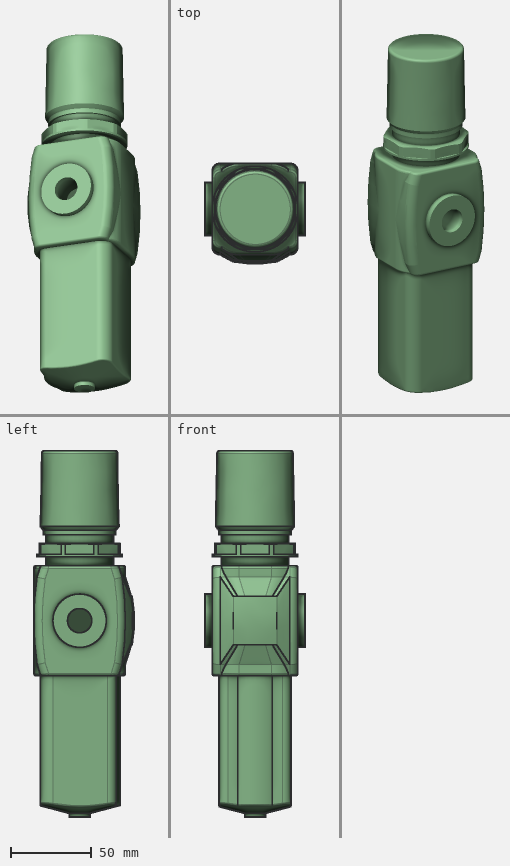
import cadquery as cq
import math


HOUSING_WIDTH = 53.0
HOUSING_HEIGHT = 68.0
HOUSING_TOP = HOUSING_HEIGHT / 2
EDGE_RADIUS = 1.5

BARREL_HALF_DEPTH = 28.27
BARREL_SHOULDER_Z = 27.0
BARREL_SHOULDER_DEPTH = 26.3
BARREL_END_DEPTH = 24.1
BARREL_CORNER_RADIUS = 5.0

HUMP_HALF_DEPTH = 28.27
HUMP_FLAT_HALF = 10.0
HUMP_CURVE_RADIUS = 17.0
HUMP_FLANK_REACH = 11.5

COVER_FRONT = 34.0
PAD_HALF_WIDTH = 13.4
PAD_HALF_HEIGHT = 15.0
COVER_BASE_HALF_WIDTH = 21.5
COVER_SIDE_DEPTH = 32.8
COVER_CORNER_DEPTH = 31.4
RAMP_BASE_REACH = 9.0
RAMP_TOP_DEPTH = 32.0
RAMP_TOP_FLAT_HALF = 6.35
RAMP_TOP_REACH = 6.8
INNER_DEPTH = 15.0

PORT_SPAN = 62.0
PORT_DIAMETER = 33.0
PORT_HOLE_DIAMETER = 15.0
PORT_HOLE_DEPTH = 20.0

NECK_DIAMETER = 42.0
NECK_TOP = 53.1
NUT_ACROSS_FLATS = 50.0
NUT_DIAMETER = 53.0
NUT_SIDES = 8
NUT_BOTTOM = 39.6
NUT_TOP = 47.8
NUT_FLANGE_THICKNESS = 1.3
NUT_CHAMFER_WIDTH = 1.8
NUT_CHAMFER_HEIGHT = 0.7

KNOB_TOP = 105.1
KNOB_TOP_DIAMETER = 47.0
KNOB_BOTTOM_DIAMETER = 48.8
KNOB_RIM_RADIUS = 1.8
KNOB_BOTTOM = 58.4
COLLAR_DIAMETER = 45.0
COLLAR_TOP = 55.9

BOWL_TOP = -HOUSING_TOP
BOWL_WIDTH = 44.5
BOWL_BACK_DEPTH = 24.4
BOWL_SHOULDER_DEPTH = 22.5
BOWL_FRONT_DEPTH = 25.2
BULGE_HALF_WIDTH = 10.7
BOWL_FRONT_RADIUS = 5.3
BOWL_BACK_RADIUS = 7.7
BOWL_TIP_Z = -120.8
BOWL_CONE_SLOPE = 0.262
BOWL_EDGE_RADIUS = 1.0
DRAIN_DIAMETER = 13.0
DRAIN_BOTTOM = -121.5


def barrel():
    """Core of the housing: Y-Z outline with bulged front and back, extruded along X."""
    outline = (
        cq.Workplane("YZ")
        .moveTo(-BARREL_END_DEPTH, HOUSING_TOP)
        .lineTo(-BARREL_SHOULDER_DEPTH, BARREL_SHOULDER_Z)
        .threePointArc((-BARREL_HALF_DEPTH, 0), (-BARREL_SHOULDER_DEPTH, -BARREL_SHOULDER_Z))
        .lineTo(-BARREL_END_DEPTH, -HOUSING_TOP)
        .lineTo(BARREL_END_DEPTH, -HOUSING_TOP)
        .lineTo(BARREL_SHOULDER_DEPTH, -BARREL_SHOULDER_Z)
        .threePointArc((BARREL_HALF_DEPTH, 0), (BARREL_SHOULDER_DEPTH, BARREL_SHOULDER_Z))
        .lineTo(BARREL_END_DEPTH, HOUSING_TOP)
        .close()
    )
    body = outline.extrude(HOUSING_WIDTH / 2, both=True)
    return body.faces("<X or >X").edges("not #Z").fillet(BARREL_CORNER_RADIUS)


def hump_section(plane, flat_half, crest_depth, reach):
    """Closed section facing -Y: a flat crest with a tangent arc of the given reach on each side."""
    angle = math.asin(reach / HUMP_CURVE_RADIUS)

    def flank_point(turn):
        x = flat_half + HUMP_CURVE_RADIUS * math.sin(turn)
        y = -crest_depth + HUMP_CURVE_RADIUS * (1 - math.cos(turn))
        return x, y

    middle_x, middle_y = flank_point(angle / 2)
    end_x, end_y = flank_point(angle)
    return (
        plane.moveTo(-end_x, -INNER_DEPTH)
        .lineTo(-end_x, end_y)
        .threePointArc((-middle_x, middle_y), (-flat_half, -crest_depth))
        .lineTo(flat_half, -crest_depth)
        .threePointArc((middle_x, middle_y), (end_x, end_y))
        .lineTo(end_x, -INNER_DEPTH)
        .close()
    )


def hump():
    base = cq.Workplane("XY").workplane(offset=-HOUSING_TOP)
    section = hump_section(base, HUMP_FLAT_HALF, HUMP_HALF_DEPTH, HUMP_FLANK_REACH)
    return section.extrude(HOUSING_HEIGHT)


def cover_ramp():
    """Upper ramp of the front cover, narrowing from the shoulder to the pad."""
    base = cq.Workplane("XY").workplane(offset=BARREL_SHOULDER_Z)
    wide = hump_section(base, HUMP_FLAT_HALF, HUMP_HALF_DEPTH, RAMP_BASE_REACH)
    inward = wide.workplane(offset=PAD_HALF_HEIGHT - BARREL_SHOULDER_Z)
    narrow = hump_section(inward, RAMP_TOP_FLAT_HALF, RAMP_TOP_DEPTH, RAMP_TOP_REACH)
    return narrow.loft(ruled=True, combine=True)


def cover_side_section(plane, half_height, edge_depth, crest_depth):
    """Y-Z section with a curved front edge, used at both ends of a side slope."""
    return (
        plane.moveTo(-INNER_DEPTH, half_height)
        .lineTo(-edge_depth, half_height)
        .threePointArc((-crest_depth, 0), (-edge_depth, -half_height))
        .lineTo(-INNER_DEPTH, -half_height)
        .close()
    )


def cover_side():
    """Slope from the barrel corner up to the +X edge of the pad."""
    base = cq.Workplane("YZ").workplane(offset=COVER_BASE_HALF_WIDTH)
    outer = cover_side_section(base, BARREL_SHOULDER_Z, BARREL_SHOULDER_DEPTH, BARREL_HALF_DEPTH)
    inward = outer.workplane(offset=PAD_HALF_WIDTH - COVER_BASE_HALF_WIDTH)
    inner = cover_side_section(inward, PAD_HALF_HEIGHT, COVER_CORNER_DEPTH, COVER_SIDE_DEPTH)
    return inner.loft(ruled=True, combine=True)


def cover_end():
    """Plain upper slope under the ramp, reaching the diagonal edges of the side slopes."""
    slope = (
        cq.Workplane("YZ")
        .polyline([
            (-INNER_DEPTH, BARREL_SHOULDER_Z),
            (-BARREL_SHOULDER_DEPTH, BARREL_SHOULDER_Z),
            (-COVER_CORNER_DEPTH, PAD_HALF_HEIGHT),
            (-INNER_DEPTH, PAD_HALF_HEIGHT),
        ])
        .close()
        .extrude(COVER_BASE_HALF_WIDTH, both=True)
    )
    plan = (
        cq.Workplane("XZ")
        .polyline([
            (-COVER_BASE_HALF_WIDTH, BARREL_SHOULDER_Z),
            (COVER_BASE_HALF_WIDTH, BARREL_SHOULDER_Z),
            (PAD_HALF_WIDTH, PAD_HALF_HEIGHT),
            (-PAD_HALF_WIDTH, PAD_HALF_HEIGHT),
        ])
        .close()
        .extrude(COVER_FRONT)
    )
    return slope.intersect(plan)


def pad():
    """Square pad whose front is crowned across X and curved about an axis along X."""
    drop = COVER_SIDE_DEPTH - COVER_CORNER_DEPTH
    curve_radius = (PAD_HALF_HEIGHT**2 + drop**2) / (2 * drop)
    axis_y = curve_radius - COVER_SIDE_DEPTH
    half_sweep = 2 * math.degrees(math.asin(PAD_HALF_HEIGHT / curve_radius))
    crowned = (
        cq.Workplane("XY")
        .moveTo(-PAD_HALF_WIDTH, 0)
        .lineTo(-PAD_HALF_WIDTH, -COVER_SIDE_DEPTH)
        .threePointArc((0, -COVER_FRONT), (PAD_HALF_WIDTH, -COVER_SIDE_DEPTH))
        .lineTo(PAD_HALF_WIDTH, 0)
        .close()
        .revolve(2 * half_sweep, (0, axis_y, 0), (1, axis_y, 0))
        .rotate((0, axis_y, 0), (1, axis_y, 0), -half_sweep)
    )
    depth = COVER_FRONT - INNER_DEPTH
    block = cq.Workplane("XY").box(2 * PAD_HALF_WIDTH, depth, 2 * PAD_HALF_HEIGHT)
    return crowned.intersect(block.translate((0, -INNER_DEPTH - depth / 2, 0)))


def front_cover():
    cover = pad()
    side = cover_side()
    cover = cover.union(side).union(side.mirror("YZ"))
    end = cover_end().union(cover_ramp())
    return cover.union(end).union(end.mirror("XY"))


def nut():
    """Octagon with its corners turned down, on a round flange."""
    height = NUT_TOP - NUT_BOTTOM
    across_corners = NUT_ACROSS_FLATS / math.cos(math.pi / NUT_SIDES)
    base = cq.Workplane("XY").workplane(offset=NUT_BOTTOM)
    octagon = base.polygon(NUT_SIDES, across_corners).extrude(height)
    octagon = octagon.rotate((0, 0, 0), (0, 0, 1), 180 / NUT_SIDES)
    turned = base.circle(NUT_DIAMETER / 2).extrude(height)
    turned = turned.faces(">Z").chamfer(NUT_CHAMFER_HEIGHT, NUT_CHAMFER_WIDTH)
    flange = base.circle(NUT_DIAMETER / 2).extrude(NUT_FLANGE_THICKNESS)
    return octagon.intersect(turned).union(flange)


def housing_body():
    front_hump = hump()
    body = barrel().union(front_hump).union(front_hump.mirror("XZ"))
    body = body.faces("<Z or >Z").edges().fillet(EDGE_RADIUS)
    body = body.union(front_cover())
    ports = cq.Workplane("YZ").circle(PORT_DIAMETER / 2).extrude(PORT_SPAN / 2, both=True)
    body = body.union(ports)
    for side in (-1, 1):
        hole = (
            cq.Workplane("YZ")
            .workplane(offset=side * PORT_SPAN / 2)
            .circle(PORT_HOLE_DIAMETER / 2)
            .extrude(-side * PORT_HOLE_DEPTH)
        )
        body = body.cut(hole)
    neck_base = cq.Workplane("XY").workplane(offset=HOUSING_TOP)
    neck = neck_base.circle(NECK_DIAMETER / 2).extrude(NECK_TOP - HOUSING_TOP)
    return body.union(neck).union(nut())


def adjusting_knob():
    """Slightly tapered turned knob with a cone down to its collar."""
    return (
        cq.Workplane("XZ")
        .moveTo(0, NECK_TOP)
        .lineTo(COLLAR_DIAMETER / 2, NECK_TOP)
        .lineTo(COLLAR_DIAMETER / 2, COLLAR_TOP)
        .lineTo(KNOB_BOTTOM_DIAMETER / 2, KNOB_BOTTOM)
        .lineTo(KNOB_TOP_DIAMETER / 2, KNOB_TOP)
        .lineTo(0, KNOB_TOP)
        .close()
        .revolve(360, (0, 0, 0), (0, 1, 0))
        .faces(">Z")
        .edges()
        .fillet(KNOB_RIM_RADIUS)
    )


def filter_bowl():
    """Prismatic bowl with a bulged front, a conical bottom and a drain stub."""
    half_width = BOWL_WIDTH / 2
    base = cq.Workplane("XY").workplane(offset=BOWL_TIP_Z)
    wall = (
        base.moveTo(-half_width, BOWL_BACK_DEPTH)
        .lineTo(-half_width, -BOWL_SHOULDER_DEPTH)
        .lineTo(-BULGE_HALF_WIDTH, -BOWL_SHOULDER_DEPTH)
        .threePointArc((0, -BOWL_FRONT_DEPTH), (BULGE_HALF_WIDTH, -BOWL_SHOULDER_DEPTH))
        .lineTo(half_width, -BOWL_SHOULDER_DEPTH)
        .lineTo(half_width, BOWL_BACK_DEPTH)
        .close()
        .extrude(BOWL_TOP - BOWL_TIP_Z)
    )
    wall = wall.edges("|Z and >Y").fillet(BOWL_BACK_RADIUS)
    wall = wall.edges("|Z").edges("<X or >X").edges("<Y").fillet(BOWL_FRONT_RADIUS)
    cone_radius = BOWL_WIDTH
    cone_top = BOWL_TIP_Z + BOWL_CONE_SLOPE * cone_radius
    cone_envelope = (
        cq.Workplane("XZ")
        .moveTo(0, BOWL_TIP_Z)
        .lineTo(cone_radius, cone_top)
        .lineTo(cone_radius, BOWL_TOP)
        .lineTo(0, BOWL_TOP)
        .close()
        .revolve(360, (0, 0, 0), (0, 1, 0))
    )
    bowl = wall.intersect(cone_envelope)
    bowl = bowl.faces("<Z").edges().fillet(BOWL_EDGE_RADIUS)
    drain_base = cq.Workplane("XY").workplane(offset=DRAIN_BOTTOM)
    drain = drain_base.circle(DRAIN_DIAMETER / 2).extrude(BOWL_TOP - DRAIN_BOTTOM)
    return bowl.union(drain)


housing = housing_body()
knob = adjusting_knob()
bowl = filter_bowl()

result = cq.Compound.makeCompound([body.solids().val() for body in (housing, knob, bowl)])